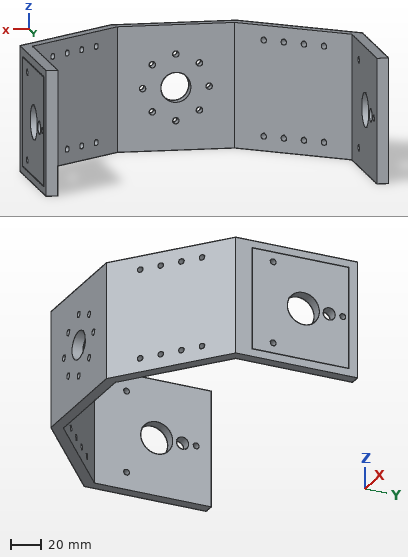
import cadquery as cq
import math

overall_width = 232.5
pad_thickness = 0.5
frame_width = overall_width - pad_thickness
depth = 150.0
height = 85.0
wall = 8.0
arm_length = 90.0
front_width = 85.0

center_hole_diameter = 20.2
bolt_circle_radius = 22.5
bolt_count = 8
screw_diameter = 4.2

slope_hole_diameter = 4.0
slope_hole_count = 4
slope_hole_pitch = 15.0
slope_row_spacing = 65.0

pin_distance = 11.2
guide_hole_distance = 21.1
guide_hole_diameter = 8.8
shaft_hole_distance = 40.2
shaft_hole_diameter = 23.5
rear_pair_distance = 62.5
rear_pair_spacing = 59.5

pad_end_distance = 6.7
pad_length = 71.0
pad_height = 74.1

half_width = frame_width / 2
half_front = front_width / 2
corner_y = depth - arm_length
slope_run = half_width - half_front
slope_length = math.hypot(slope_run, corner_y)
slope_angle = math.atan2(corner_y, slope_run)

front_mitre = wall * math.tan(slope_angle / 2)
arm_mitre = wall * math.tan((math.pi / 2 - slope_angle) / 2)


def make_frame():
    right_side = [
        (half_front, 0),
        (half_width, corner_y),
        (half_width, depth),
        (half_width - wall, depth),
        (half_width - wall, corner_y + arm_mitre),
        (half_front - front_mitre, wall),
    ]
    left_side = [(-x, y) for x, y in reversed(right_side)]
    profile = cq.Workplane("XY").polyline(right_side + left_side).close()
    return profile.extrude(height / 2, both=True)


def make_pad():
    pad_center_y = depth - pad_end_distance - pad_length / 2
    return (
        cq.Workplane("YZ", origin=(half_width, pad_center_y, 0))
        .rect(pad_length, pad_height)
        .extrude(pad_thickness)
    )


def front_cutters():
    plane = cq.Workplane("XZ")
    center_hole = plane.circle(center_hole_diameter / 2).extrude(-wall)
    bolts = (
        plane.polarArray(bolt_circle_radius, 0, 360, bolt_count)
        .circle(screw_diameter / 2)
        .extrude(-wall)
    )
    return center_hole.union(bolts)


def slope_cutters(side):
    """Two rows of holes square to a sloped panel; side is +1 or -1 along X."""
    panel = cq.Plane(
        origin=(side * (half_front + slope_run / 2), corner_y / 2, 0),
        xDir=(side * slope_run, corner_y, 0),
        normal=(side * corner_y / slope_length, -slope_run / slope_length, 0),
    )
    return (
        cq.Workplane(panel)
        .rarray(slope_hole_pitch, slope_row_spacing, slope_hole_count, 2)
        .circle(slope_hole_diameter / 2)
        .extrude(wall, both=True)
    )


def arm_cutters():
    """Holes passing straight through both arms."""
    holes = [
        (pin_distance, 0, screw_diameter),
        (guide_hole_distance, 0, guide_hole_diameter),
        (shaft_hole_distance, 0, shaft_hole_diameter),
        (rear_pair_distance, rear_pair_spacing / 2, screw_diameter),
        (rear_pair_distance, -rear_pair_spacing / 2, screw_diameter),
    ]
    cutters = cq.Workplane("YZ")
    for distance, z, diameter in holes:
        hole = cq.Workplane("YZ").center(depth - distance, z).circle(diameter / 2)
        cutters = cutters.add(hole.extrude(overall_width, both=True))
    return cutters.combine()


result = make_frame().union(make_pad())
result = result.cut(front_cutters()).cut(arm_cutters())
for side in (1, -1):
    result = result.cut(slope_cutters(side))